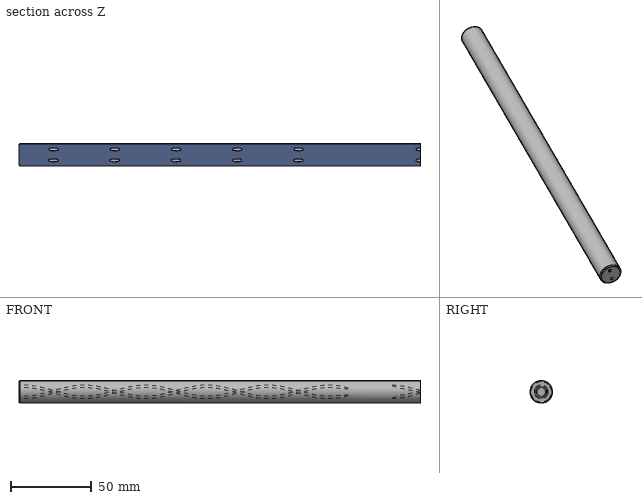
import cadquery as cq
import math

ROD_LENGTH = 250.0
ROD_DIAMETER = 14.0
CHAMFER = 0.7

CHANNEL_COUNT = 2
CHANNEL_DIAMETER = 1.6
CHANNEL_RADIUS_FROM_AXIS = 3.45
FIRST_CHANNEL_TILT = 12.0
HELIX_ANGLE = 30.0
CHANNEL_OVERRUN = 1.0

HELIX_PITCH = math.pi * ROD_DIAMETER / math.tan(math.radians(HELIX_ANGLE))


def make_rod():
    """Plain rod from X = 0, chamfered on its -X end only."""
    rod = cq.Workplane("YZ").circle(ROD_DIAMETER / 2).extrude(ROD_LENGTH)
    return rod.faces("<X").chamfer(CHAMFER)


def make_channel(opening_angle):
    """Right-handed channel along X that opens at opening_angle from +Y towards +Z."""
    path = cq.Wire.makeHelix(HELIX_PITCH, ROD_LENGTH + CHANNEL_OVERRUN, CHANNEL_RADIUS_FROM_AXIS)
    upright_channel = (
        cq.Workplane("XY")
        .center(CHANNEL_RADIUS_FROM_AXIS, 0)
        .circle(CHANNEL_DIAMETER / 2)
        .sweep(cq.Workplane(path), isFrenet=True)
        .rotate((0, 0, 0), (0, 0, 1), opening_angle)
    )
    return upright_channel.rotate((0, 0, 0), (1, 1, 1), 120)


result = make_rod()
for index in range(CHANNEL_COUNT):
    angle = 90 + index * 360 / CHANNEL_COUNT - FIRST_CHANNEL_TILT
    result = result.cut(make_channel(angle))
result = result.translate((-ROD_LENGTH / 2, 0, 0))